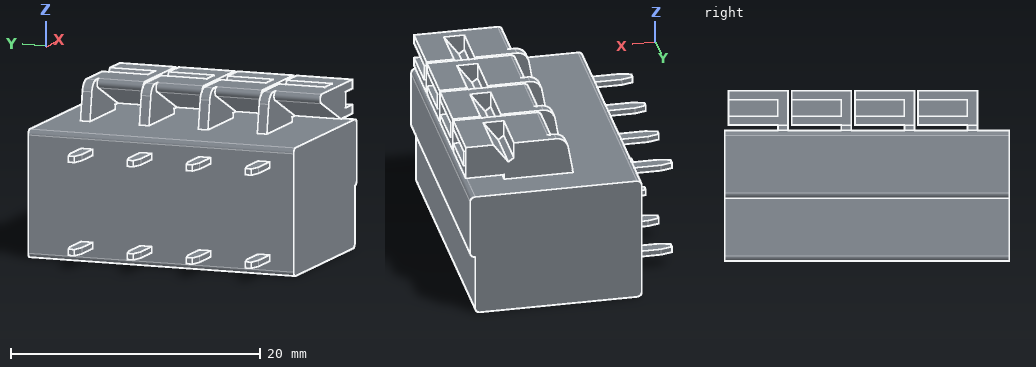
import cadquery as cq
import math

row_length = 22.85
housing_depth = 14.1
housing_height = 10.5
edge_radius = 0.41
wire_face_step = 0.41
step_height = 5.05

pole_count = 4
pole_pitch = 5.07
first_lever_y = -11.13
first_pin_y = -8.87

pin_length = 3.5
pin_width = 1.0
pin_thickness = 0.5
pin_tip_width = 0.5
pin_taper_length = 0.95
pin_row_count = 2
lower_pin_z = 1.42
pin_row_spacing = 7.61

lever_width = 4.8
lever_rise = 3.2
lever_top = housing_height + lever_rise
lever_end_x = 13.92
lever_clearance = 0.41
lever_underside = housing_height + lever_clearance
arm_thickness = 0.82
arm_base_x = 5.1
arm_foot_end_x = 10.77
arm_lean = 10.0
arm_radius = 1.0
arm_root = 0.45
key_nose_x = 6.68
key_nose_radius = 0.4
key_heel_x = 11.34

end_slot_depth = 1.53
end_slot_bottom = 11.64
end_slot_top = 12.95

notch_length = 3.93
notch_start_x = 9.97
notch_valley_x = 10.42
notch_end_x = 11.65
notch_depth = 1.67


def extrude_along_y(profile, y_start, width):
    """Extrude an XZ profile from y_start towards +Y."""
    return profile.extrude(-width).translate((0, y_start, 0))


def make_housing():
    stepped_x = housing_depth - wire_face_step
    bump_start_z = step_height + edge_radius
    profile = (
        cq.Workplane("XZ")
        .lineTo(stepped_x, 0)
        .lineTo(stepped_x, step_height)
        .radiusArc((housing_depth, bump_start_z), -edge_radius)
        .lineTo(housing_depth, housing_height)
        .lineTo(0, housing_height)
        .close()
    )
    block = extrude_along_y(profile, -row_length / 2, row_length)
    return block.edges("|Y and (<Z or >Z)").fillet(edge_radius)


def make_pin(y, z):
    taper_x = pin_taper_length - pin_length
    half_width = pin_width / 2
    half_tip = pin_tip_width / 2
    outline = [
        (0, -half_width),
        (taper_x, -half_width),
        (-pin_length, -half_tip),
        (-pin_length, half_tip),
        (taper_x, half_width),
        (0, half_width),
    ]
    pin = cq.Workplane("XY").polyline(outline).close().extrude(pin_thickness)
    return pin.translate((0, y, z - pin_thickness / 2))


def make_arm():
    lean_slope = math.tan(math.radians(arm_lean))
    outline = [
        (arm_base_x - arm_root * lean_slope, housing_height - arm_root),
        (arm_foot_end_x, housing_height - arm_root),
        (arm_foot_end_x, lever_underside),
        (lever_end_x, lever_underside),
        (lever_end_x, lever_top),
        (arm_base_x + lever_rise * lean_slope, lever_top),
    ]
    profile = cq.Workplane("XZ").polyline(outline).close()
    arm = extrude_along_y(profile, lever_width - arm_thickness, arm_thickness)
    return arm.edges("|Y and >Z").edges("<X").fillet(arm_radius)


def make_key():
    nose_x = key_nose_x + key_nose_radius
    nose_z = lever_top - key_nose_radius
    run = key_heel_x - nose_x
    drop = nose_z - lever_underside
    slope = math.atan2(drop, run) - math.asin(key_nose_radius / math.hypot(run, drop))
    tangent_x = nose_x - key_nose_radius * math.sin(slope)
    tangent_z = nose_z - key_nose_radius * math.cos(slope)
    profile = (
        cq.Workplane("XZ")
        .moveTo(nose_x, lever_top)
        .threePointArc((key_nose_x, nose_z), (tangent_x, tangent_z))
        .lineTo(key_heel_x, lever_underside)
        .lineTo(lever_end_x, lever_underside)
        .lineTo(lever_end_x, lever_top)
        .close()
    )
    return extrude_along_y(profile, 0, lever_width)


def make_end_slot():
    slot_width = lever_width - arm_thickness
    slot_height = end_slot_top - end_slot_bottom
    slot = cq.Workplane("XY").box(end_slot_depth, slot_width, slot_height, centered=False)
    return slot.translate((lever_end_x - end_slot_depth, 0, end_slot_bottom))


def make_notch():
    valley_z = lever_top - notch_depth
    ramp_run = notch_end_x - notch_valley_x
    floor_rise = (notch_valley_x - notch_start_x) * ramp_run / notch_depth
    outline = [
        (notch_start_x, lever_top),
        (notch_start_x, valley_z + floor_rise),
        (notch_valley_x, valley_z),
        (notch_end_x, lever_top),
    ]
    profile = cq.Workplane("XZ").polyline(outline).close()
    return extrude_along_y(profile, lever_width - notch_length, notch_length)


def make_lever():
    return make_arm().union(make_key()).cut(make_end_slot()).cut(make_notch())


result = make_housing()
lever = make_lever()
for pole in range(pole_count):
    offset = pole * pole_pitch
    result = result.union(lever.translate((0, first_lever_y + offset, 0)))
    for row in range(pin_row_count):
        pin_z = lower_pin_z + row * pin_row_spacing
        result = result.union(make_pin(first_pin_y + offset, pin_z))